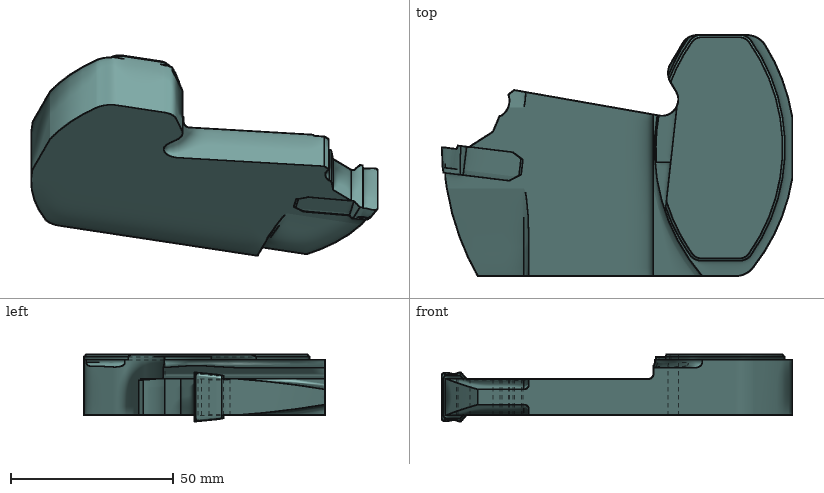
import cadquery as cq
import math

BLADE_THICKNESS = 11.1
MID_Z = BLADE_THICKNESS / 2
SHOULDER_Z = 17.1
PAD_EDGE_Z = 18.0
PAD_TOP_Z = 18.7
SCOOP_Z = 14.6
STEP_X = 65.4
FLOOR_FILLET = 1.6
BEYOND = 5.4

HEAD_MID_Y = 39.6
HEAD_TOP_Y = 74.5
RIM_CENTRE_X = 49.5
RIM_RADIUS = 59.5
RIM_FLAT_X = 108.2
RIM_CORNER = 6.8
HEAD_HEEL = (75.9, HEAD_TOP_Y)
HEEL_RADIUS = 5.4
HEAD_NOSE = (69.0, 62.7)
NOSE_RADIUS = 5.4
GULLET = (77.8, 47.7)
GULLET_RADIUS = 5.0

BACK_BEVEL = [(22.4, 57.5), (20.6, 56.1)]
CHIP_ARC = [(20.9, 54.0), (18.5, 49.6)]
CHIP_EDGE = [(17.9, 49.5), (15.8, 44.6), (8.9, 40.2)]
NOSE_TIP_Y = 32.3
NOSE_ARC = [(1.1, 30.6), (3.8, 17.3), (11.1, 0)]

SCOOP_CENTRE_X = 126.4
SCOOP_RADIUS = 60.7
SCOOP_MAX_X = 86.6
PAD_LEFT_X = 66.1
PAD_RIGHT_X = 106.0
PAD_RADIUS = 57.4
PAD_CORNER = 4.3
PAD_BOTTOM_Y = 2 * HEAD_MID_Y - HEAD_TOP_Y
PAD_CUT_LINE = [(69.3, 22.3), (72.7, 53.6)]
PAD_CUT_STEP_Y = 35.2

NOSE_RELIEF_X = 25.3
NOSE_RELIEF_PROFILE = [(27.1, BLADE_THICKNESS), (17.3, 10.3), (0.0, 7.9)]
BACK_RELIEF_X = 25.2
BACK_RELIEF_FILLET = 1.0
BACK_RELIEF_Y = 52.1
BACK_RELIEF_DROP = 0.4

INSERT_ORIGIN = (0, 35.7)
INSERT_TILT = 7.0
SHANK_V = (-3.7, 5.2)
NECK_V = 4.1
BAND_V = -2.2
NECK_U = 4.1
NECK_BACK_U = 4.4
FRONT_FACE = [(-0.51, NECK_V), (0.5, BAND_V), (1.0, SHANK_V[0])]
SHANK_END_U = 21.4
TAIL_U = 24.9
TAIL_V = (-1.3, 3.2)
BAND_DROP = 0.2
TAIL_BEVEL = 0.6
INSERT_RISE = 2.1
INSERT_TOP_Z = BLADE_THICKNESS + INSERT_RISE
INSERT_BAND_Z = 12.5
INSERT_LOW_Z = 12.1
HEAD_BACK_U = 5.3
HEAD_FOOT_U = 7.1
EDGE_ROUND = 1.0
GROOVE_U = (1.2, 2.9, 3.8, 5.0)
GROOVE_DEPTH = 0.3


def vertical_edge(corner, reach=0.3):
    """Selector for the vertical edge through an outline corner."""
    x, y = corner
    return cq.selectors.BoxSelector((x - reach, y - reach, 0), (x + reach, y + reach, SHOULDER_Z))


def rim_x(y):
    """X of the curved right rim at a height y."""
    return RIM_CENTRE_X + math.sqrt(RIM_RADIUS**2 - (y - HEAD_MID_Y) ** 2)


def holder_blank():
    """Full outline, as thick as the head, with rounded corners."""
    nose_end, nose_mid, nose_start = NOSE_ARC
    rim_bottom = (rim_x(0), 0)
    rim_top = (rim_x(HEAD_TOP_Y), HEAD_TOP_Y)
    flat_bottom_y = HEAD_MID_Y - math.sqrt(RIM_RADIUS**2 - (RIM_FLAT_X - RIM_CENTRE_X) ** 2)
    lower_y = flat_bottom_y / 2
    upper_y = 2 * HEAD_MID_Y - lower_y
    blank = (
        cq.Workplane("XY")
        .moveTo(*nose_start)
        .lineTo(*rim_bottom)
        .threePointArc((rim_x(lower_y), lower_y), (RIM_FLAT_X, flat_bottom_y))
        .lineTo(RIM_FLAT_X, 2 * HEAD_MID_Y - flat_bottom_y)
        .threePointArc((rim_x(upper_y), upper_y), rim_top)
        .lineTo(*HEAD_HEEL)
        .lineTo(*HEAD_NOSE)
        .lineTo(*GULLET)
        .polyline(BACK_BEVEL, includeCurrent=True)
        .threePointArc(*CHIP_ARC)
        .polyline(CHIP_EDGE, includeCurrent=True)
        .lineTo(nose_end[0], NOSE_TIP_Y)
        .lineTo(*nose_end)
        .threePointArc(nose_mid, nose_start)
        .close()
        .extrude(SHOULDER_Z)
    )
    corners = [
        (rim_bottom, RIM_CORNER),
        (rim_top, RIM_CORNER),
        (HEAD_HEEL, HEEL_RADIUS),
        (HEAD_NOSE, NOSE_RADIUS),
        (GULLET, GULLET_RADIUS),
    ]
    for corner, radius in corners:
        blank = blank.edges(vertical_edge(corner)).fillet(radius)
    return blank


def step_cutter():
    """Space above the blade, rounded where it meets the head."""
    length = STEP_X + BEYOND
    return (
        cq.Workplane("XY")
        .box(length, HEAD_TOP_Y + 2 * BEYOND, PAD_TOP_Z, centered=False)
        .translate((-BEYOND, -BEYOND, BLADE_THICKNESS))
        .edges("|Y and >X and <Z")
        .fillet(FLOOR_FILLET)
    )


def scoop_cutter():
    """Space outside a large cylinder, left of the head, rounded at its floor."""
    left = STEP_X - BEYOND
    height = PAD_TOP_Z
    core = (
        cq.Workplane("XY", origin=(SCOOP_CENTRE_X, HEAD_MID_Y, SCOOP_Z))
        .circle(SCOOP_RADIUS)
        .extrude(height)
    )
    block = (
        cq.Workplane("XY")
        .box(SCOOP_MAX_X - left, HEAD_TOP_Y + 4 * BEYOND, height, centered=(False, True, False))
        .translate((left, HEAD_MID_Y, SCOOP_Z))
    )
    return block.cut(core).faces("<Z").edges("%CIRCLE").fillet(FLOOR_FILLET)


def space_above(points, floor_z):
    """Prism over a polygon, from a floor to above the pad."""
    return cq.Workplane("XY", origin=(0, 0, floor_z)).polyline(points).close().extrude(PAD_TOP_Z)


def raised_pad(head_outline):
    """Lens-shaped pad with a bevelled rim, trimmed to the head's outline and cut back on its left."""
    half_height = HEAD_TOP_Y - HEAD_MID_Y
    inset = PAD_RADIUS - math.sqrt(PAD_RADIUS**2 - half_height**2)
    left = PAD_LEFT_X + inset
    right = PAD_RIGHT_X - inset
    bevel = PAD_TOP_Z - PAD_EDGE_Z
    pad = (
        cq.Workplane("XY", origin=(0, 0, SHOULDER_Z))
        .moveTo(left, PAD_BOTTOM_Y)
        .lineTo(right, PAD_BOTTOM_Y)
        .threePointArc((PAD_RIGHT_X, HEAD_MID_Y), (right, HEAD_TOP_Y))
        .lineTo(left, HEAD_TOP_Y)
        .threePointArc((PAD_LEFT_X, HEAD_MID_Y), (left, PAD_BOTTOM_Y))
        .close()
        .extrude(PAD_TOP_Z - SHOULDER_Z)
        .edges("|Z")
        .fillet(PAD_CORNER)
        .faces(">Z")
        .edges()
        .chamfer(bevel)
    )
    pad = pad.intersect(head_outline.translate((0, 0, SHOULDER_Z)))

    (low_x, low_y), (high_x, high_y) = PAD_CUT_LINE
    slope = (high_x - low_x) / (high_y - low_y)
    split_x = low_x + slope * (PAD_CUT_STEP_Y - low_y)
    outside_x = STEP_X - BEYOND
    foot_y = low_y - BEYOND
    foot_x = low_x - slope * BEYOND
    upper_points = [
        (outside_x, PAD_CUT_STEP_Y),
        (split_x, PAD_CUT_STEP_Y),
        (high_x, high_y),
        (outside_x, high_y),
    ]
    lower_points = [
        (outside_x, foot_y),
        (foot_x, foot_y),
        (split_x, PAD_CUT_STEP_Y),
        (outside_x, PAD_CUT_STEP_Y),
    ]
    upper_cut = space_above(upper_points, PAD_EDGE_Z)
    lower_cut = space_above(lower_points, SHOULDER_Z)
    return pad.cut(upper_cut).cut(lower_cut)


def nose_relief():
    """Curved taper on top of the blade nose, ending in a rounded wall."""
    high, middle, low = NOSE_RELIEF_PROFILE
    top = BLADE_THICKNESS + BEYOND
    return (
        cq.Workplane("YZ", origin=(-BEYOND, 0, 0))
        .moveTo(*high)
        .threePointArc(middle, low)
        .lineTo(low[0], top)
        .lineTo(high[0], top)
        .close()
        .extrude(NOSE_RELIEF_X + FLOOR_FILLET + BEYOND)
        .faces(">X")
        .edges("<Z")
        .fillet(FLOOR_FILLET)
    )


def back_relief():
    """Shallow ramp at the back corner, ending in a rounded wall."""
    top = BLADE_THICKNESS + BEYOND
    end_y = BACK_RELIEF_Y + BEYOND
    start_x = BACK_RELIEF_X - 2 * BEYOND
    return (
        cq.Workplane("YZ", origin=(start_x, 0, 0))
        .moveTo(BACK_RELIEF_Y, BLADE_THICKNESS)
        .lineTo(end_y, BLADE_THICKNESS - BACK_RELIEF_DROP)
        .lineTo(end_y, top)
        .lineTo(BACK_RELIEF_Y, top)
        .close()
        .extrude(BACK_RELIEF_X + BACK_RELIEF_FILLET - start_x)
        .faces(">X")
        .edges("<Z")
        .fillet(BACK_RELIEF_FILLET)
    )


def place_insert(shape):
    """Move a shape from the insert's frame to its seat in the blade."""
    return shape.rotate((0, 0, 0), (0, 0, 1), -INSERT_TILT).translate((*INSERT_ORIGIN, 0))


def insert_plan():
    """Insert outline as a prism, in the insert's frame."""
    low_v, high_v = SHANK_V
    low_tail_v, high_tail_v = TAIL_V
    points = [
        *FRONT_FACE,
        (SHANK_END_U, low_v),
        (TAIL_U, low_tail_v),
        (TAIL_U, high_tail_v),
        (SHANK_END_U, high_v),
        (NECK_BACK_U, high_v),
        (NECK_U, NECK_V),
    ]
    bottom = BLADE_THICKNESS - INSERT_TOP_Z
    return (
        cq.Workplane("XY", origin=(0, 0, bottom))
        .polyline(points)
        .close()
        .extrude(INSERT_TOP_Z - bottom)
    )


def insert_side_profile():
    """Lengthwise section of the upper half: raised head, flush shank and bevelled tail."""
    low_v, high_v = SHANK_V
    points = [
        (-BEYOND, MID_Z),
        (-BEYOND, INSERT_TOP_Z),
        (HEAD_BACK_U, INSERT_TOP_Z),
        (HEAD_FOOT_U, BLADE_THICKNESS),
        (TAIL_U - TAIL_BEVEL, BLADE_THICKNESS),
        (TAIL_U, BLADE_THICKNESS - BAND_DROP),
        (TAIL_U, MID_Z),
    ]
    return (
        cq.Workplane("XZ", origin=(0, high_v, 0))
        .polyline(points)
        .close()
        .extrude(high_v - low_v)
    )


def insert_cross_profile():
    """Crosswise section of the upper half: the head's top falls toward the lower side."""
    low_v, high_v = SHANK_V
    points = [
        (high_v, MID_Z),
        (high_v, INSERT_TOP_Z),
        (BAND_V, INSERT_BAND_Z),
        (low_v, INSERT_LOW_Z),
        (low_v, MID_Z),
    ]
    return (
        cq.Workplane("YZ", origin=(-BEYOND, 0, 0))
        .polyline(points)
        .close()
        .extrude(TAIL_U + 2 * BEYOND)
    )


def chip_groove():
    """Shallow groove across the head's top, parallel to its slope, ending at the lower band."""
    high_v = SHANK_V[1]
    start_u, floor_start_u, floor_end_u, end_u = GROOVE_U
    slope = math.degrees(math.atan2(INSERT_TOP_Z - INSERT_BAND_Z, high_v - BAND_V))
    return (
        cq.Workplane("XZ", origin=(0, high_v + BEYOND, INSERT_TOP_Z))
        .polyline([(start_u, 0), (floor_start_u, -GROOVE_DEPTH), (floor_end_u, -GROOVE_DEPTH), (end_u, 0)])
        .close()
        .extrude(high_v - BAND_V + BEYOND)
        .rotate((0, high_v, INSERT_TOP_Z), (1, high_v, INSERT_TOP_Z), slope)
    )


def band_bevel():
    """Wedge removed along the lower top edge of the shank."""
    low_v = SHANK_V[0]
    edge_z = BLADE_THICKNESS - BAND_DROP
    return (
        cq.Workplane("YZ", origin=(HEAD_FOOT_U, 0, 0))
        .polyline([(BAND_V, BLADE_THICKNESS), (low_v, edge_z), (low_v, BLADE_THICKNESS)])
        .close()
        .extrude(TAIL_U)
    )


def insert_body():
    """Cutting insert: the upper half and its mirror image, placed in the blade."""
    low_v, high_v = SHANK_V
    half = insert_plan().intersect(insert_side_profile()).intersect(insert_cross_profile())
    front_top_edges = cq.selectors.BoxSelector(
        (-EDGE_ROUND, low_v, BLADE_THICKNESS),
        (EDGE_ROUND, high_v, INSERT_TOP_Z),
    )
    half = half.edges(front_top_edges).fillet(EDGE_ROUND)
    half = half.cut(chip_groove()).cut(band_bevel())
    return place_insert(half.union(half.mirror("XY", (0, 0, MID_Z))))


blank = holder_blank()
holder = blank.cut(step_cutter()).cut(scoop_cutter()).union(raised_pad(blank))
relief = nose_relief()
holder = holder.cut(relief).cut(relief.mirror("XY", (0, 0, MID_Z))).cut(back_relief())
holder = holder.cut(place_insert(insert_plan()))
insert = insert_body()
result = cq.Compound.makeCompound([holder.val(), insert.val()])